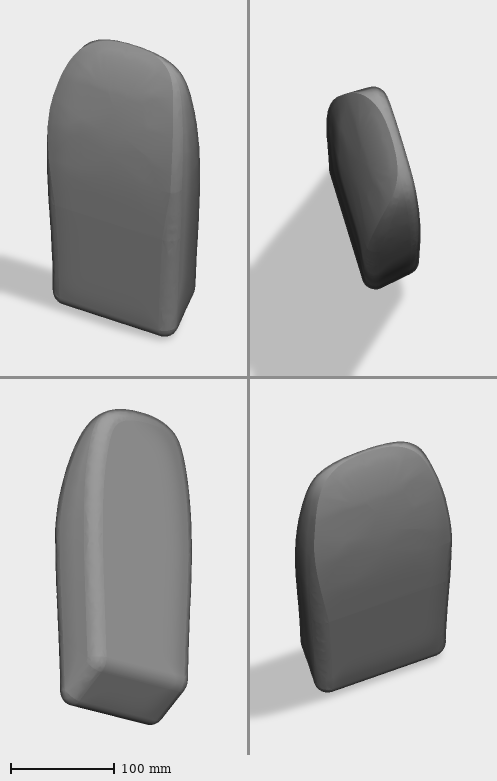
import cadquery as cq

WIDTH = 150.0
DEPTH = 57.7
HEIGHT = 297.3
half_width = WIDTH / 2
front_y = -DEPTH / 2
back_y = DEPTH / 2

FOOT_HALF_WIDTH = 69.0
WIDEST_Z = 163.5
SHOULDER_HALF_WIDTH = 66.3
SHOULDER_Z = 252.7
CROWN_HALF_WIDTH = 53.2
CROWN_Z = 281.5
CREST_Z = 297.5

APEX_Y = 18.5
TOP_BACK_Y = 28.0
TOE_Y = -27.3
TOE_Z = -13.7
HEEL_Z = 32.5
TOE_RADIUS = 12.5
HEEL_RADIUS = 17.8
SLOPE_START_Z = 119.0
SLOPE_MIDDLE = (-14.3, 240.0)
APEX_DIRECTION = (0.75, 0.66)

EDGE_RADIUS = 13.0
RIGHT_EDGE_TILT = 8.0
MARGIN = 59.5


def outline_prism():
    """Rounded outline, open below so that the side profile forms the foot."""
    right_side = [
        (half_width, WIDEST_Z),
        (SHOULDER_HALF_WIDTH, SHOULDER_Z),
        (CROWN_HALF_WIDTH, CROWN_Z),
        (0, CREST_Z),
    ]
    left_side = [(-x, z) for x, z in reversed(right_side[:-1])]
    left_foot = (-FOOT_HALF_WIDTH, 0)
    outline = right_side + left_side + [left_foot]
    return (
        cq.Workplane("XZ", origin=(0, back_y + MARGIN, 0))
        .moveTo(FOOT_HALF_WIDTH, -MARGIN)
        .lineTo(FOOT_HALF_WIDTH, 0)
        .spline(outline, tangents=[(0, 1), (0, -1)], includeCurrent=True)
        .lineTo(-FOOT_HALF_WIDTH, -MARGIN)
        .close()
        .extrude(DEPTH + 2 * MARGIN)
    )


def side_prism():
    """Full-depth side profile with a sloping underside and rounded toe and heel."""
    return (
        cq.Workplane("YZ", origin=(-WIDTH, 0, 0))
        .polyline([
            (front_y, HEIGHT + MARGIN),
            (front_y, SLOPE_START_Z),
            (TOE_Y, TOE_Z),
            (back_y, HEEL_Z),
            (back_y, WIDEST_Z),
            (TOP_BACK_Y, HEIGHT + MARGIN),
        ])
        .close()
        .extrude(2 * WIDTH)
        .edges("|X and <Z")
        .fillet(TOE_RADIUS)
        .edges(cq.selectors.NearestToPointSelector((0, back_y, HEEL_Z)))
        .fillet(HEEL_RADIUS)
    )


def front_space():
    """Space behind the front face, which curves back to the apex."""
    return (
        cq.Workplane("YZ", origin=(-WIDTH, 0, 0))
        .moveTo(front_y, -MARGIN)
        .lineTo(front_y, SLOPE_START_Z)
        .spline([SLOPE_MIDDLE, (APEX_Y, HEIGHT)], tangents=[(0, 1), APEX_DIRECTION], includeCurrent=True)
        .lineTo(APEX_Y + MARGIN, HEIGHT + MARGIN)
        .lineTo(back_y + MARGIN, -MARGIN)
        .close()
        .extrude(2 * WIDTH)
    )



front_face = front_space()
tilted_face = front_face.rotate((half_width, 0, 0), (half_width, 0, 1), RIGHT_EDGE_TILT)
envelope = outline_prism().intersect(side_prism()).intersect(tilted_face)
result = envelope.edges("not(|X)").fillet(EDGE_RADIUS).intersect(front_face)